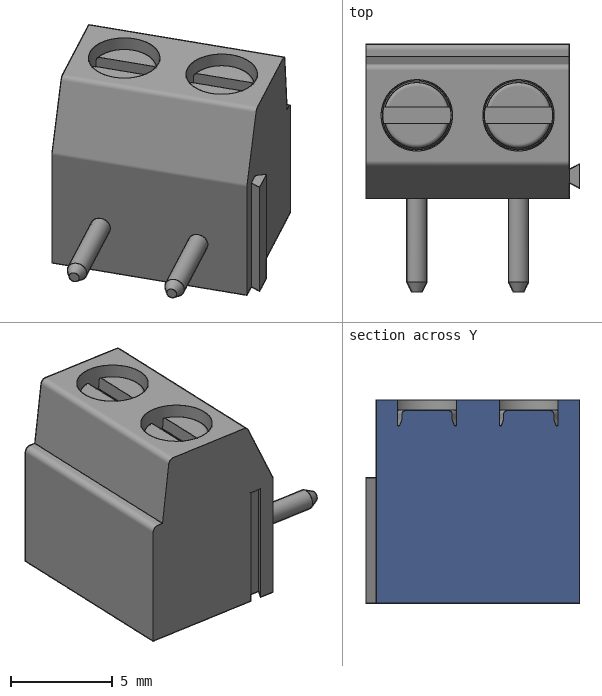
import cadquery as cq

pole_count = 2
pitch = 5.0
overall_depth = 12.2
body_width = pole_count * pitch
body_depth = 7.6
body_height = 10.0

shoulder_height = 6.5
slope_run = 1.66
step_depth = 0.6
back_wall_lean = 0.43
edge_radius = 0.3

dovetail_center_y = 1.11
dovetail_height = 6.19
dovetail_depth = 0.5
rail_root_width = 0.68
rail_outer_width = 1.2
groove_mouth_width = 0.6
groove_floor_width = 1.18

screw_center_y = 4.1
well_radius = 1.76
screw_recess = 0.5
screw_radius = 1.61
screw_edge_radius = 0.2
screw_base_radius = 1.7
screw_flare_height = 0.29
screw_head_height = 0.76
slot_width = 0.82
slot_depth = 0.7

pin_radius = 0.5
pin_length = overall_depth - body_depth
pin_tip_length = 0.5
pin_tip_radius = 0.26
pin_height = 2.64


def make_housing():
    """Stepped housing with a sloped front, extruded along the row and rounded on its outer edges."""
    step_y = body_depth - step_depth
    step_edge = (body_depth, shoulder_height)
    top_back = (step_y - back_wall_lean, body_height)
    top_front = (slope_run, body_height)
    slope_foot = (0, shoulder_height)
    profile = [
        (0, 0),
        (body_depth, 0),
        step_edge,
        (step_y, shoulder_height),
        top_back,
        top_front,
        slope_foot,
    ]
    housing = cq.Workplane("YZ").polyline(profile).close().extrude(body_width)
    for y, z in (step_edge, top_back, top_front, slope_foot):
        corner = cq.selectors.NearestToPointSelector((body_width / 2, y, z))
        housing = housing.edges("|X").edges(corner).fillet(edge_radius)
    return housing


def make_dovetail(face_x, near_width, far_width):
    """Vertical dovetail bar that widens toward +X, starting on the plane X = face_x."""
    far_x = face_x + dovetail_depth
    outline = [
        (face_x, dovetail_center_y - near_width / 2),
        (far_x, dovetail_center_y - far_width / 2),
        (far_x, dovetail_center_y + far_width / 2),
        (face_x, dovetail_center_y + near_width / 2),
    ]
    return cq.Workplane("XY").polyline(outline).close().extrude(dovetail_height)


def make_screw_head():
    """Slotted screw head standing on Z = 0, with a rounded rim and a base that flares outward."""
    rim_arc_start = screw_head_height - screw_edge_radius
    head = (
        cq.Workplane("XZ")
        .lineTo(screw_base_radius, 0)
        .lineTo(screw_radius, screw_flare_height)
        .lineTo(screw_radius, rim_arc_start)
        .radiusArc((screw_radius - screw_edge_radius, screw_head_height), -screw_edge_radius)
        .lineTo(0, screw_head_height)
        .close()
        .revolve(360, (0, 0), (0, 1))
    )
    slot = cq.Workplane("XY", origin=(0, 0, screw_head_height - slot_depth)).box(
        2 * well_radius, slot_width, slot_depth, centered=(True, True, False)
    )
    return head.cut(slot)


def cut_screw_well(body, pole_x):
    """Sink a round well that leaves a screw head standing on its floor."""
    well_depth = screw_recess + screw_head_height
    well = cq.Workplane("XY").circle(well_radius).extrude(well_depth)
    void = well.cut(make_screw_head())
    return body.cut(void.translate((pole_x, screw_center_y, body_height - well_depth)))


def make_pin(pole_x):
    """Round pin with a tapered tip, revolved about its own axis."""
    taper_start = pin_length - pin_tip_length
    half_section = [
        (0, 0),
        (pin_radius, 0),
        (pin_radius, -taper_start),
        (pin_tip_radius, -pin_length),
        (0, -pin_length),
    ]
    return (
        cq.Workplane("XY", origin=(pole_x, 0, pin_height))
        .polyline(half_section)
        .close()
        .revolve(360, (0, 0), (0, 1))
    )


result = make_housing()
result = result.cut(make_dovetail(0, groove_mouth_width, groove_floor_width))
result = result.union(make_dovetail(body_width, rail_root_width, rail_outer_width))
for pole in range(pole_count):
    pole_center_x = (pole + 0.5) * pitch
    result = cut_screw_well(result, pole_center_x)
    result = result.union(make_pin(pole_center_x))